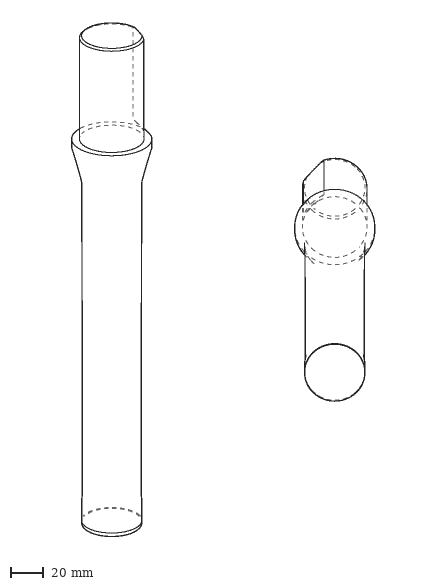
import cadquery as cq
import math

total_height = 332.0
shank_radius = 40.0 / 2
collar_radius = 49.5 / 2
barrel_radius = 37.2 / 2
waist_radius = 36.5 / 2

cap_height = 3.0
foot_top = 16.5
waist_bottom = 19.5
waist_top = 139.5
neck_bottom = 226.5
neck_top = 231.7
collar_rim_bottom = 256.5
collar_top = 262.0

shank_chamfer = 1.3
neck_blend_height = 3.3

flat_distance = 17.5
flat_runout_start = 268.5


def make_flat_cutter():
    """Wedge-ended block removed from the +Y side of the shank."""
    outer_distance = collar_radius
    runout_rise = outer_distance - flat_distance
    outline = [
        (flat_distance, flat_runout_start),
        (outer_distance, flat_runout_start - runout_rise),
        (outer_distance, total_height),
        (flat_distance, total_height),
    ]
    return cq.Workplane("YZ").polyline(outline).close().extrude(collar_radius, both=True)


def make_bar():
    """Shank, flared collar, tapered barrel, waist and foot in one turned solid."""
    flare_slope = (collar_radius - barrel_radius) / (collar_rim_bottom - neck_top - neck_blend_height / 2)
    flare_angle = math.atan(flare_slope)
    blend_radius = neck_blend_height / math.sin(flare_angle)

    def blend_point(angle):
        return (
            barrel_radius + blend_radius * (1 - math.cos(angle)),
            neck_top + blend_radius * math.sin(angle),
        )

    profile = (
        cq.Workplane("XZ")
        .moveTo(0, cap_height)
        .lineTo(barrel_radius, cap_height)
        .lineTo(barrel_radius, foot_top)
        .lineTo(waist_radius, waist_bottom)
        .lineTo(waist_radius, waist_top)
        .lineTo(barrel_radius, neck_bottom)
        .lineTo(barrel_radius, neck_top)
        .threePointArc(blend_point(flare_angle / 2), blend_point(flare_angle))
        .lineTo(collar_radius, collar_rim_bottom)
        .lineTo(collar_radius, collar_top)
        .lineTo(shank_radius, collar_top)
        .lineTo(shank_radius, total_height)
        .lineTo(0, total_height)
        .close()
    )
    bar = profile.revolve(360, (0, 0), (0, 1))
    bar = bar.faces(">Z").edges().chamfer(shank_chamfer)
    return bar.cut(make_flat_cutter())


def make_cap():
    """Thin disc closing the lower end, with a fully rounded rim."""
    rim_radius = cap_height / 2
    flat_face_radius = barrel_radius - rim_radius
    profile = (
        cq.Workplane("XZ")
        .lineTo(flat_face_radius, 0)
        .threePointArc((barrel_radius, rim_radius), (flat_face_radius, cap_height))
        .lineTo(0, cap_height)
        .close()
    )
    return profile.revolve(360, (0, 0), (0, 1))


bar = make_bar()
cap = make_cap()

result = cq.Compound.makeCompound([bar.val(), cap.val()])